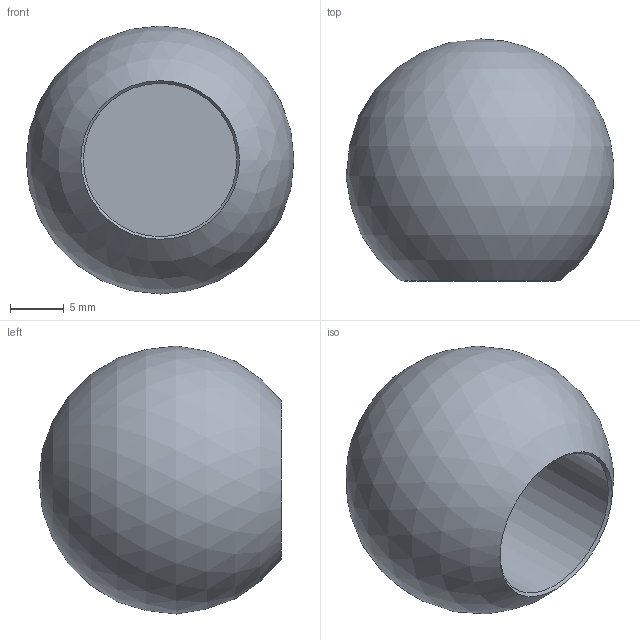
import cadquery as cq
import math

ball_diameter = 25.0
bore_diameter = 14.3
bore_depth = 15.0
countersink_depth = 0.25

ball_radius = ball_diameter / 2
bore_radius = bore_diameter / 2
mouth_radius = bore_radius + countersink_depth

mouth_y = -math.sqrt(ball_radius**2 - mouth_radius**2)
countersink_end_y = mouth_y + countersink_depth
floor_y = mouth_y + bore_depth


def make_bored_ball():
    """Revolve half of the section through the bore axis about Y."""
    half_section = (
        cq.Workplane("XY")
        .moveTo(0, floor_y)
        .lineTo(bore_radius, floor_y)
        .lineTo(bore_radius, countersink_end_y)
        .lineTo(mouth_radius, mouth_y)
        .threePointArc((ball_radius, 0), (0, ball_radius))
        .close()
    )
    return half_section.revolve(360, (0, 0, 0), (0, 1, 0))


result = make_bored_ball()